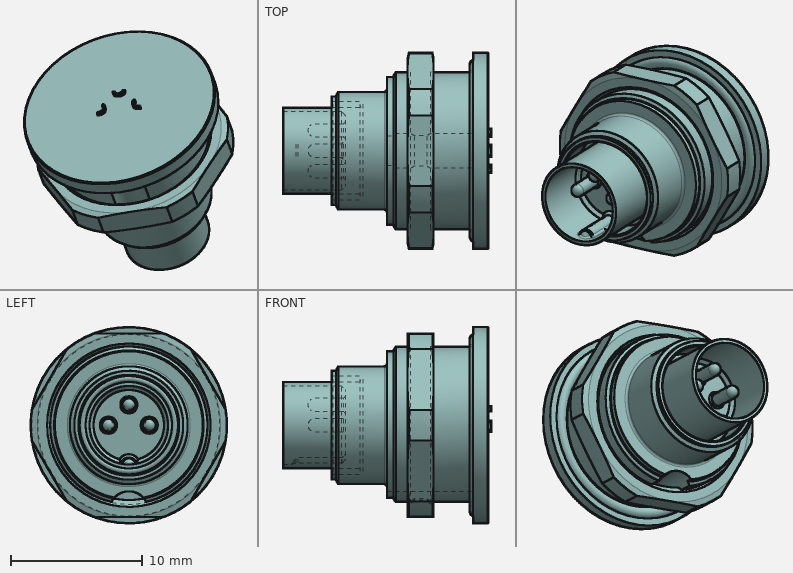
import cadquery as cq
import math


sleeve_radius = 6.6 / 2
sleeve_bore_radius = 6.0 / 2
insert_face_radius = 2.69
insert_face_x = 4.77
sleeve_bore_end_x = insert_face_x - (sleeve_bore_radius - insert_face_radius)

lip_start_x = 3.7
lip_radius = 8.32 / 2
barrel_chamfer_x = 4.02
barrel_radius = 9.0 / 2
barrel_chamfer_length = 0.2
barrel_fillet = 0.19
gap_radius = 7.5 / 2
gap_edge_chamfer = 0.1

gap_ring_section = (gap_radius - sleeve_radius) / 2
gap_ring_centre = (gap_radius + sleeve_radius) / 2
gap_depth = 2.38
gap_floor_x = lip_start_x + gap_depth

shoulder_start_x = 7.92
shoulder_radius = 5.65
body_start_x = 8.43
body_chamfer_length = 0.17
thread_minor_radius = 5.71
body_radius = 12.0 / 2

flange_start_x = 14.5
flange_end_x = 15.68
flange_radius = 15.0 / 2
flange_rear_chamfer = 0.08
seal_section = 0.5
seal_centre_radius = body_radius + seal_section
seal_protrusion = 0.29
seal_centre_x = flange_start_x - seal_protrusion + seal_section

nut_start_x = 9.5
nut_end_x = 11.5
nut_flats = 13.99
nut_corner_radius = flange_radius
nut_chamfer_length = 0.11
nut_mouth_radius = 6.23

keyway_radius = 1.5
keyway_top_z = -5.04

pin_radius = 1.0 / 2
pin_circle_radius = 1.56
pin_tip_x = 1.91
pin_collar_radius = 0.65
cup_end_x = 15.9
cup_bore_radius = 0.7 / 2
cup_opening_offset = -0.11
side_cup_tilt = 30.0

overlap = 0.16

key_tip_x = 0.6
key_rim_x = 0.99
key_shoulder_x = 1.15
key_rim_radius = 0.54
key_radius = 0.6
key_axis_z = -3.07
key_collar_radius = 0.86
key_root_fillet = 0.22


def rod(radius, start_x, end_x, y=0.0, z=0.0):
    """Cylinder along X."""
    return cq.Workplane("YZ", origin=(start_x, y, z)).circle(radius).extrude(end_x - start_x)


def revolved(points):
    """Solid of revolution about the X axis from an (x, radius) outline."""
    return cq.Workplane("XY").polyline(points).close().revolve(360, (0, 0, 0), (1, 0, 0))


def ring(centre_x, centre_radius, section_radius):
    """Round-section ring about the X axis."""
    section = cq.Workplane("XY").center(centre_x, centre_radius).circle(section_radius)
    return section.revolve(360, (0, -centre_radius, 0), (1, -centre_radius, 0))


def make_housing():
    outline = (
        cq.Workplane("XY")
        .moveTo(0, 0)
        .lineTo(0, sleeve_radius)
        .lineTo(lip_start_x, sleeve_radius)
        .lineTo(lip_start_x, lip_radius)
        .lineTo(barrel_chamfer_x, lip_radius)
        .lineTo(barrel_chamfer_x + barrel_chamfer_length, barrel_radius)
        .lineTo(shoulder_start_x - barrel_fillet, barrel_radius)
        .radiusArc((shoulder_start_x, barrel_radius + barrel_fillet), -barrel_fillet)
        .lineTo(shoulder_start_x, shoulder_radius)
        .lineTo(body_start_x, shoulder_radius)
        .lineTo(body_start_x, thread_minor_radius)
        .lineTo(body_start_x + body_chamfer_length, body_radius)
        .lineTo(flange_start_x, body_radius)
        .lineTo(flange_start_x, flange_radius)
        .lineTo(flange_end_x - flange_rear_chamfer, flange_radius)
        .lineTo(flange_end_x, flange_radius - flange_rear_chamfer)
        .lineTo(flange_end_x, 0)
        .close()
    )
    return outline.revolve(360, (0, 0, 0), (1, 0, 0))


def make_sleeve_bore():
    return revolved([
        (0, 0),
        (0, sleeve_bore_radius),
        (sleeve_bore_end_x, sleeve_bore_radius),
        (insert_face_x, insert_face_radius),
        (insert_face_x, 0),
    ])


def make_barrel_gap():
    gap = revolved([
        (lip_start_x, sleeve_radius),
        (lip_start_x, gap_radius + gap_edge_chamfer),
        (lip_start_x + gap_edge_chamfer, gap_radius),
        (gap_floor_x, gap_radius),
        (gap_floor_x, sleeve_radius),
    ])
    return gap.cut(ring(gap_floor_x, gap_ring_centre, gap_ring_section))


def make_nut():
    corner_diameter = nut_flats / math.cos(math.radians(30))
    hexagon = (
        cq.Workplane("YZ", origin=(nut_start_x, 0, 0))
        .polygon(6, corner_diameter)
        .extrude(nut_end_x - nut_start_x)
    )
    turned = revolved([
        (nut_start_x, 0),
        (nut_start_x, nut_flats / 2),
        (nut_start_x + nut_chamfer_length, nut_corner_radius),
        (nut_end_x - nut_chamfer_length, nut_corner_radius),
        (nut_end_x, nut_flats / 2),
        (nut_end_x, 0),
    ])
    mouth_depth = nut_mouth_radius - thread_minor_radius
    bore = revolved([
        (nut_start_x, 0),
        (nut_start_x, nut_mouth_radius),
        (nut_start_x + mouth_depth, thread_minor_radius),
        (nut_end_x - mouth_depth, thread_minor_radius),
        (nut_end_x, nut_mouth_radius),
        (nut_end_x, 0),
    ])
    return hexagon.intersect(turned).cut(bore)


def tapered_base(top_radius, base_radius):
    """Post at the bottom of the sleeve bore that widens at 45 degrees onto the insert face."""
    taper_height = base_radius - top_radius
    return revolved([
        (sleeve_bore_end_x, 0),
        (sleeve_bore_end_x, top_radius),
        (insert_face_x - taper_height, top_radius),
        (insert_face_x, base_radius),
        (insert_face_x, 0),
    ])


def make_pin(y, z):
    """Round-nosed pin standing on a tapered collar on the insert face."""
    shank = rod(pin_radius, pin_tip_x + pin_radius, insert_face_x + overlap, y, z)
    nose = cq.Workplane("XY").sphere(pin_radius).translate((pin_tip_x + pin_radius, y, z))
    collar = tapered_base(pin_radius, pin_collar_radius).translate((0, y, z))
    return shank.union(nose).union(collar)


def make_solder_cup(y, z, opening_angle):
    """Half-open cup; the opening angle is measured from +Y towards +Z."""
    cup = rod(pin_radius, flange_end_x - overlap, cup_end_x)
    cup = cup.cut(rod(cup_bore_radius, flange_end_x, cup_end_x))
    opening = (
        cq.Workplane("XY")
        .box(cup_end_x - flange_end_x, 2 * pin_radius, 4 * pin_radius, centered=(False, False, True))
        .translate((flange_end_x, cup_opening_offset, 0))
        .rotate((0, 0, 0), (1, 0, 0), opening_angle)
    )
    return cup.cut(opening).translate((0, y, z))


def make_key():
    """Blunt-nosed key blended into the bore wall, with a tapered collar at the insert face."""
    blended_end_x = sleeve_bore_end_x
    key = revolved([
        (key_tip_x, 0),
        (key_rim_x, key_rim_radius),
        (key_shoulder_x, key_radius),
        (blended_end_x, key_radius),
        (blended_end_x, 0),
    ]).translate((0, 0, key_axis_z))
    sleeve_wall = rod(sleeve_radius, 0, blended_end_x)
    bore = rod(sleeve_bore_radius, 0, blended_end_x)
    wall_with_key = sleeve_wall.cut(bore).union(key.intersect(sleeve_wall))
    root_top_z = -math.sqrt(sleeve_bore_radius**2 - key_radius**2)
    root = cq.selectors.BoxSelector(
        (key_tip_x, -key_radius, -sleeve_bore_radius),
        (blended_end_x - overlap, key_radius, root_top_z),
    )
    wall_with_key = wall_with_key.edges(root).fillet(key_root_fillet)
    collar = tapered_base(key_radius, key_collar_radius).translate((0, 0, key_axis_z))
    return wall_with_key.union(collar.intersect(rod(sleeve_radius, 0, insert_face_x)))


keyway = rod(keyway_radius, shoulder_start_x, flange_start_x, 0, keyway_top_z - keyway_radius)

result = make_housing().cut(make_sleeve_bore()).cut(make_barrel_gap()).cut(keyway)
result = result.union(make_nut())
result = result.union(ring(seal_centre_x, seal_centre_radius, seal_section))
result = result.union(make_key())

contacts = [
    (0, pin_circle_radius, 90),
    (pin_circle_radius, 0, side_cup_tilt),
    (-pin_circle_radius, 0, 180 - side_cup_tilt),
]
for pin_y, pin_z, cup_angle in contacts:
    result = result.union(make_pin(pin_y, pin_z))
    result = result.union(make_solder_cup(pin_y, pin_z, cup_angle))